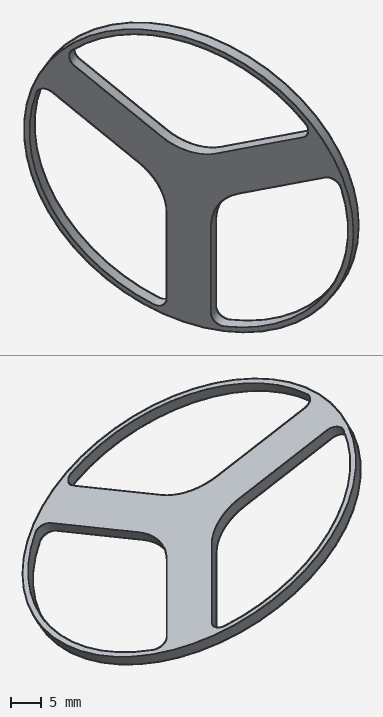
import cadquery as cq
import math

outer_radius = 30.0
rim_width = 1.0
thickness = 2.0
spoke_width = 8.1
hub_fillet = 10.0
rim_fillet = 2.0
spoke_count = 3

inner_radius = outer_radius - rim_width
half_sector = math.pi / spoke_count
apex_height = spoke_width / 2 / math.sin(half_sector)
wedge_height = 2 * outer_radius
wedge_half_width = (wedge_height - apex_height) * math.tan(half_sector)


def base_plane():
    """Sketch plane on the +Y face; extrusions run toward -Y."""
    return cq.Workplane("XZ", origin=(0, thickness / 2, 0))


def disc(radius):
    """Disc about the Y axis, centred on the XZ plane."""
    return base_plane().circle(radius).extrude(thickness)


def window():
    """Upper opening, bounded by two spokes and the rim, with rounded corners."""
    wedge = (
        base_plane()
        .moveTo(0, apex_height)
        .lineTo(wedge_half_width, wedge_height)
        .lineTo(-wedge_half_width, wedge_height)
        .close()
        .extrude(thickness)
    )
    opening = disc(inner_radius).intersect(wedge)
    opening = opening.edges("|Y").edges("<Z").fillet(hub_fillet)
    opening = opening.edges("|Y").edges("<X or >X").fillet(rim_fillet)
    return opening


result = disc(outer_radius)
top_window = window()
for index in range(spoke_count):
    angle = index * 360 / spoke_count
    result = result.cut(top_window.rotate((0, 0, 0), (0, 1, 0), angle))